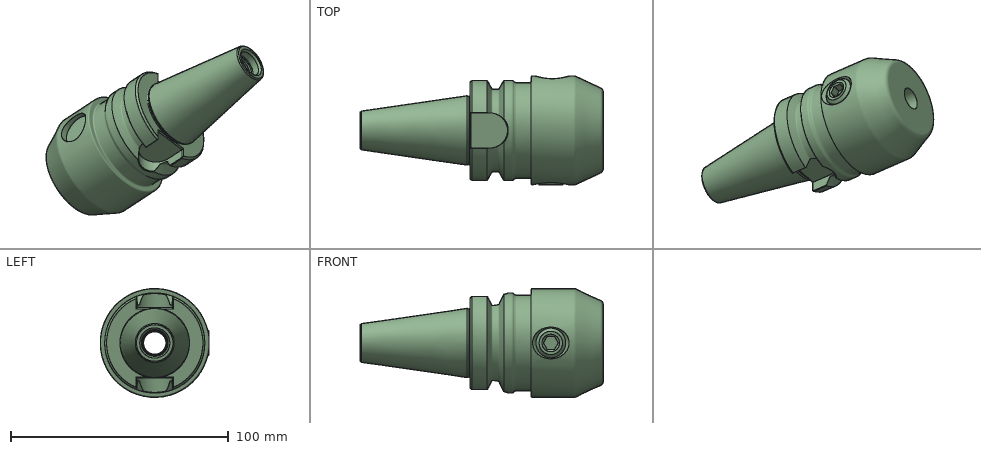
import cadquery as cq
import math

length = 111.6
chamfer_angle = 45.0
tolerance = 0.01

taper_small_radius = 8.9
taper_large_radius = 16.0
taper_end_x = 49.1
small_end_chamfer = 0.6

relief_radius = 15.6
relief_start_x = 49.9
relief_fillet = 0.3

flange_start_x = 50.3
flange_radius = 23.0
flange_chamfer = 0.9
groove_radius = 19.0
groove_flank_angle = 30.0
groove_floor_start_x = 60.6
groove_floor_end_x = 63.6
groove_fillet = 0.6
collar_end_x = 70.1

neck_radius = 22.0
neck_fillet = 0.6
neck_step_fillet = 1.1

head_start_x = 78.5
head_radius = 25.0
head_back_fillet = 0.6
nose_cone_start_x = 98.7
nose_cone_angle = 25.0
nose_shoulder_fillet = 1.7
nose_tip_fillet = 2.2

bore_radius = 5.1
counterbore_radius = 6.1
counterbore_depth = 4.5
counterbore_mouth_radius = 6.9
counterbore_mouth_depth = 1.1
step_radius = 5.7
step_length = 1.1

slot_angles = (0, 180)
slot_half_width = 8.0
slot_floor_height = 16.2
slot_end_x = 67.6
slot_front_chamfer = 0.6
slot_rim_chamfer = 0.3

screw_x = 87.5
screw_radius = 6.8
screw_length = 16.1
screw_top_radius = 5.4
screw_hole_mouth_radius = 8.4
hex_across_flats = 5.9
hex_sides = 6
hex_depth = 4.5
hex_mouth_radius = 4.0
hex_mouth_angle = 120.0

balance_x = 88.2
balance_radius = 7.6
balance_depth = 3.3


def fillet_ring(body, x, radius, fillet):
    """Round the circular edges of the given radius that lie in the plane at x."""
    rings = [
        edge
        for edge in body.edges("%CIRCLE").vals()
        if abs(edge.Center().x - x) < tolerance and abs(edge.radius() - radius) < tolerance
    ]
    return body.newObject(rings).fillet(fillet)


def make_turned_blank():
    """Solid of revolution about X that carries every turned outer shape."""
    groove_flank_run = (flange_radius - groove_radius) * math.tan(math.radians(groove_flank_angle))
    neck_start_x = collar_end_x + flange_radius - neck_radius
    nose_drop = (length - nose_cone_start_x) * math.tan(math.radians(nose_cone_angle))
    nose_end_radius = head_radius - nose_drop
    blank = (
        cq.Workplane("XY")
        .moveTo(0, 0)
        .lineTo(0, taper_small_radius - small_end_chamfer)
        .lineTo(small_end_chamfer, taper_small_radius)
        .lineTo(taper_end_x, taper_large_radius)
        .lineTo(relief_start_x, relief_radius)
        .lineTo(flange_start_x, relief_radius)
        .lineTo(flange_start_x, flange_radius - flange_chamfer)
        .lineTo(flange_start_x + flange_chamfer, flange_radius)
        .lineTo(groove_floor_start_x - groove_flank_run, flange_radius)
        .lineTo(groove_floor_start_x, groove_radius)
        .lineTo(groove_floor_end_x, groove_radius)
        .lineTo(groove_floor_end_x + groove_flank_run, flange_radius)
        .lineTo(collar_end_x, flange_radius)
        .lineTo(neck_start_x, neck_radius)
        .lineTo(head_start_x, neck_radius)
        .lineTo(head_start_x, head_radius)
        .lineTo(nose_cone_start_x, head_radius)
        .lineTo(length, nose_end_radius)
        .lineTo(length, 0)
        .close()
        .revolve(360, (0, 0, 0), (1, 0, 0))
    )
    blank = fillet_ring(blank, flange_start_x, relief_radius, relief_fillet)
    for groove_corner_x in (groove_floor_start_x, groove_floor_end_x):
        blank = fillet_ring(blank, groove_corner_x, groove_radius, groove_fillet)
    blank = fillet_ring(blank, collar_end_x, flange_radius, neck_step_fillet)
    blank = fillet_ring(blank, neck_start_x, neck_radius, neck_step_fillet)
    blank = fillet_ring(blank, head_start_x, neck_radius, neck_fillet)
    blank = fillet_ring(blank, head_start_x, head_radius, head_back_fillet)
    blank = fillet_ring(blank, nose_cone_start_x, head_radius, nose_shoulder_fillet)
    return fillet_ring(blank, length, nose_end_radius, nose_tip_fillet)


def make_bore():
    """Through bore with a stepped, chamfered counterbore at the small end."""
    step_start_x = counterbore_depth + counterbore_radius - step_radius
    step_end_x = step_start_x + step_length
    return (
        cq.Workplane("XY")
        .moveTo(0, 0)
        .lineTo(0, counterbore_mouth_radius)
        .lineTo(counterbore_mouth_depth, counterbore_radius)
        .lineTo(counterbore_depth, counterbore_radius)
        .lineTo(step_start_x, step_radius)
        .lineTo(step_end_x, step_radius)
        .lineTo(step_end_x + step_radius - bore_radius, bore_radius)
        .lineTo(length, bore_radius)
        .lineTo(length, 0)
        .close()
        .revolve(360, (0, 0, 0), (1, 0, 0))
    )


def make_slot():
    """Round-ended drive slot at +Z, open toward the taper."""
    arc_center_x = slot_end_x - slot_half_width
    slot_height = head_radius - slot_floor_height
    return (
        cq.Workplane("XY", origin=(0, 0, slot_floor_height))
        .moveTo(flange_start_x, -slot_half_width)
        .lineTo(arc_center_x, -slot_half_width)
        .threePointArc((slot_end_x, 0), (arc_center_x, slot_half_width))
        .lineTo(flange_start_x, slot_half_width)
        .close()
        .extrude(slot_height)
    )


def make_slot_mouth():
    """Wedge that chamfers the front edges of the slot at +Z."""
    mouth_half_width = slot_half_width + slot_front_chamfer
    mouth_floor = slot_floor_height - slot_front_chamfer
    mouth_height = head_radius - mouth_floor
    return (
        cq.Workplane("YZ", origin=(flange_start_x, 0, mouth_floor + mouth_height / 2))
        .rect(2 * mouth_half_width, mouth_height)
        .extrude(slot_front_chamfer, taper=chamfer_angle)
    )


def cut_slots(body):
    """Cut both drive slots, then break the edges where they meet the flange rim."""
    for angle in slot_angles:
        slot = make_slot().rotate((0, 0, 0), (1, 0, 0), angle)
        body = body.cut(slot)
    rim_height = math.sqrt(flange_radius**2 - slot_half_width**2)
    rim_edges = [
        edge
        for edge in body.edges().vals()
        if abs(edge.Center().z) >= rim_height - tolerance
        and flange_start_x + flange_chamfer / 2 < edge.Center().x < slot_end_x
        and edge.BoundingBox().ymax <= slot_half_width + tolerance
        and edge.BoundingBox().ymin >= -slot_half_width - tolerance
    ]
    body = body.newObject(rim_edges).chamfer(slot_rim_chamfer)
    for angle in slot_angles:
        mouth = make_slot_mouth().rotate((0, 0, 0), (1, 0, 0), angle)
        body = body.cut(mouth)
    return body


def make_screw_hole():
    """Blind hole for the clamping screw, with a countersunk mouth."""
    mouth_depth = screw_hole_mouth_radius - screw_radius
    return (
        cq.Workplane("XY")
        .moveTo(screw_x, -head_radius)
        .lineTo(screw_x + screw_hole_mouth_radius, -head_radius)
        .lineTo(screw_x + screw_radius, -head_radius + mouth_depth)
        .lineTo(screw_x + screw_radius, -head_radius + screw_length)
        .lineTo(screw_x, -head_radius + screw_length)
        .close()
        .revolve(360, (screw_x, 0, 0), (screw_x, 1, 0))
    )


def make_balance_recess():
    """Shallow round recess on the side opposite the clamping screw."""
    return (
        cq.Workplane("XZ", origin=(balance_x, head_radius, 0))
        .circle(balance_radius)
        .extrude(balance_depth)
    )


def make_holder():
    holder = cut_slots(make_turned_blank())
    holder = holder.cut(make_bore())
    holder = holder.cut(make_screw_hole())
    return holder.cut(make_balance_recess())


def make_clamping_screw():
    """Socket set screw, its chamfered top level with the head's outer radius."""
    hex_corner_diameter = hex_across_flats / math.cos(math.pi / hex_sides)
    half_mouth_angle = hex_mouth_angle / 2
    hex_mouth_run = hex_mouth_radius - hex_across_flats / 2
    hex_mouth_depth = hex_mouth_run / math.tan(math.radians(half_mouth_angle))
    outer_face = cq.Workplane("XZ", origin=(screw_x, -head_radius, 0))
    screw = (
        outer_face
        .circle(screw_radius)
        .extrude(-screw_length)
        .faces("<Y")
        .chamfer(screw_radius - screw_top_radius)
    )
    socket = outer_face.polygon(hex_sides, hex_corner_diameter).extrude(-hex_depth)
    socket_mouth = outer_face.circle(hex_mouth_radius).extrude(-hex_mouth_depth, taper=half_mouth_angle)
    return screw.cut(socket).cut(socket_mouth)


holder = make_holder()
clamping_screw = make_clamping_screw()

result = cq.Compound.makeCompound([holder.val(), clamping_screw.val()])